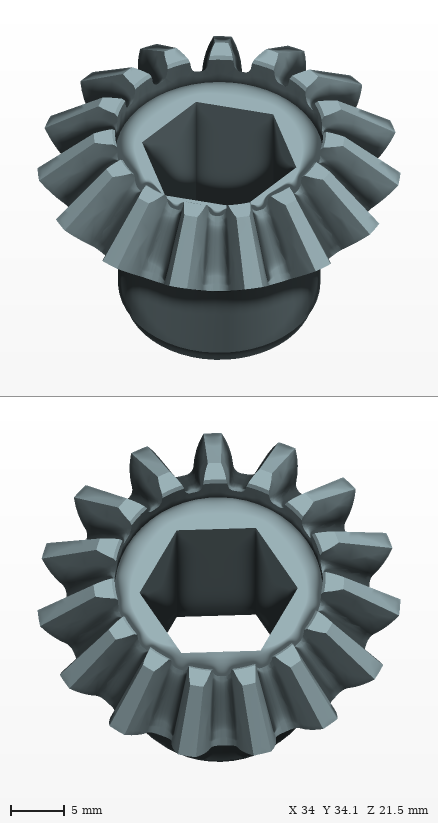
import cadquery as cq
import math

foot_radius = 8.9
foot_height = 1.55
hub_radius = 9.5
hub_top = 9.55
tip_radius = 17.1
tip_height = hub_top + tip_radius - hub_radius
top_height = 21.45
crown_radius = 11.8

recess_radius = 9.8
recess_floor = 18.25
lead_in = 0.27

hex_across_flats = 12.9
hex_across_corners = hex_across_flats / math.cos(math.pi / 6)
hex_turn = 30

tooth_count = 15
pitch_radius = 15.7
apex_height = 2 * pitch_radius

gap_mouth = (3.75, 3.07)
flank_top = (2.7, 1.8)
flank_middle = (1.77, 0.38)
flank_bottom = (1.25, -1.1)
root_middle = (0.92, -1.65)
root_bottom = (0.3, -1.85)

inner_fraction = 0.5
outer_fraction = 1.25


def make_body():
    profile = [
        (0, 0),
        (foot_radius, 0),
        (foot_radius, foot_height),
        (hub_radius, foot_height),
        (hub_radius, hub_top),
        (tip_radius, tip_height),
        (crown_radius, top_height),
        (recess_radius + lead_in, top_height),
        (recess_radius, top_height - lead_in),
        (recess_radius, recess_floor),
        (0, recess_floor),
    ]
    return cq.Workplane("XZ").polyline(profile).close().revolve(360, (0, 0), (0, 1))


def gap_wire(fraction):
    """Gap outline on a plane square to the pitch line, scaled about the apex."""
    plane = cq.Plane(
        origin=(fraction * pitch_radius, 0, apex_height - fraction * pitch_radius),
        xDir=(0, 1, 0),
        normal=(1, 0, -1),
    )

    def right(point):
        return (point[0] * fraction, point[1] * fraction)

    def left(point):
        return (-point[0] * fraction, point[1] * fraction)

    return (
        cq.Workplane(plane)
        .moveTo(*right(gap_mouth))
        .lineTo(*right(flank_top))
        .threePointArc(right(flank_middle), right(flank_bottom))
        .threePointArc(right(root_middle), right(root_bottom))
        .lineTo(*left(root_bottom))
        .threePointArc(left(root_middle), left(flank_bottom))
        .threePointArc(left(flank_middle), left(flank_top))
        .lineTo(*left(gap_mouth))
        .close()
        .val()
    )


def make_gap():
    ends = [gap_wire(inner_fraction), gap_wire(outer_fraction)]
    return cq.Workplane(obj=cq.Solid.makeLoft(ends, True))


def cut_teeth(body):
    gap = make_gap()
    for index in range(tooth_count):
        angle = index * 360 / tooth_count
        body = body.cut(gap.rotate((0, 0, 0), (0, 0, 1), angle))
    return body


def make_bore():
    hexagon = cq.Workplane("XY").polygon(6, hex_across_corners)
    return hexagon.extrude(top_height).rotate((0, 0, 0), (0, 0, 1), hex_turn)


result = cut_teeth(make_body()).cut(make_bore())